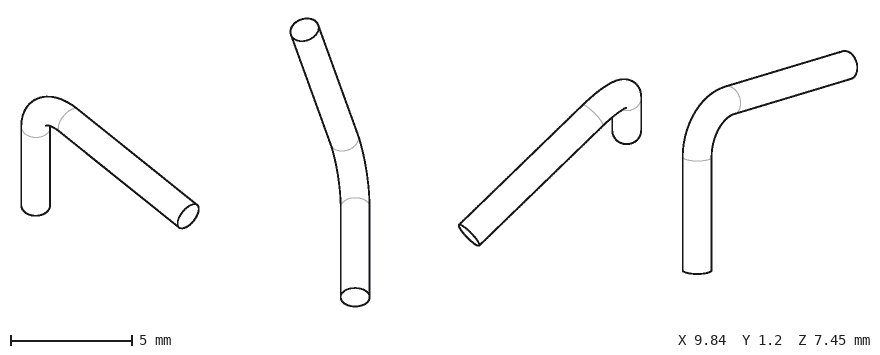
import cadquery as cq

length_x = 9.84
height_z = 7.45

rod_diameter = 1.2
bend_radius = 2.0

rod_radius = rod_diameter / 2
vertical_leg = height_z - rod_radius - bend_radius
horizontal_leg = length_x - rod_radius - bend_radius

centreline = (
    cq.Workplane("XZ")
    .lineTo(0, vertical_leg)
    .radiusArc((bend_radius, vertical_leg + bend_radius), bend_radius)
    .line(horizontal_leg, 0)
)

result = cq.Workplane("XY").circle(rod_radius).sweep(centreline)